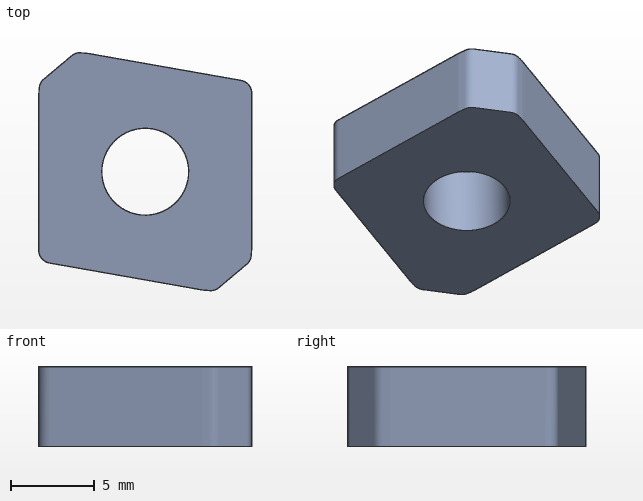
import cadquery as cq
import math

inscribed_diameter = 12.7
thickness = 4.76
hole_diameter = 5.16
acute_angle = 80.0
cut_distance = 8.11
flat_start = 3.0
flat_tilt = 5.0
obtuse_radius = 0.8
cut_radius = 0.71

inscribed_radius = inscribed_diameter / 2
half_angle = math.radians(acute_angle / 2)
flat_angle = half_angle + math.radians(flat_tilt)

acute_tip_u = inscribed_radius / math.sin(half_angle)
obtuse_tip_v = inscribed_radius / math.cos(half_angle)
flat_start_u = acute_tip_u - flat_start * math.cos(half_angle)
flat_start_v = flat_start * math.sin(half_angle)
cut_end_v = flat_start_v - (cut_distance - flat_start_u) * math.tan(flat_angle)

quarter = [(0, obtuse_tip_v), (flat_start_u, flat_start_v), (cut_distance, cut_end_v)]
upper_half = [(-u, v) for u, v in quarter[:0:-1]] + quarter
outline = upper_half + [(-u, -v) for u, v in upper_half]
plate = cq.Workplane("XY").polyline(outline).close().extrude(thickness)


def round_corners(body, u, v, radius):
    """Round the upright edge at (u, v) and its mirror images in both diagonals."""
    mirrored = {(su * u, sv * v) for su in (1, -1) for sv in (1, -1)}
    for corner_u, corner_v in mirrored:
        point = (corner_u, corner_v, thickness / 2)
        body = body.edges(cq.selectors.NearestToPointSelector(point)).fillet(radius)
    return body


plate = round_corners(plate, 0, obtuse_tip_v, obtuse_radius)
plate = round_corners(plate, cut_distance, cut_end_v, cut_radius)

plate = plate.faces(">Z").workplane(origin=(0, 0, thickness)).hole(hole_diameter)

diagonal_turn = acute_angle / 2 - 90
result = plate.rotate((0, 0, 0), (0, 0, 1), diagonal_turn)